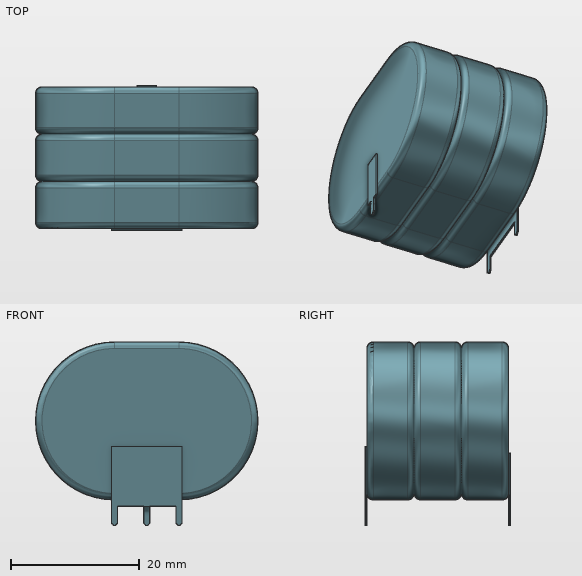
import cadquery as cq

cell_count = 3
cell_height = 24.5
flat_length = 10.0
stack_depth = 22.0
edge_radius = 1.0
cell_width = cell_height + flat_length
cell_depth = stack_depth / cell_count

tab_thickness = 0.25
front_tab_width = 11.0
front_tab_top = -4.0
back_tab_width = 3.0
back_tab_top = -5.0
tab_overhang = 1.0
tab_bottom = -cell_height / 2 - tab_overhang

pin_width = 1.0
pin_length = 3.0
tip_height = 0.4
tip_flat = 0.2
pin_end = tab_bottom - pin_length
front_pin_offset = (front_tab_width - pin_width) / 2


def plate_plane(y_start):
    """XZ sketch plane at y_start whose extrusions grow toward +Y."""
    return cq.Workplane(cq.Plane(origin=(0, y_start, 0), xDir=(1, 0, 0), normal=(0, -1, 0)))


def make_cell(y_start):
    """Oval cell with both end rims rounded."""
    blank = plate_plane(y_start).slot2D(cell_width, cell_height).extrude(-cell_depth)
    return blank.faces("<Y or >Y").edges().fillet(edge_radius)


def make_pin(x_center, y_start):
    """Flat pin with a tapered tip."""
    half_width = pin_width / 2
    half_tip = tip_flat / 2
    outline = [
        (x_center - half_width, tab_bottom),
        (x_center + half_width, tab_bottom),
        (x_center + half_width, pin_end + tip_height),
        (x_center + half_tip, pin_end),
        (x_center - half_tip, pin_end),
        (x_center - half_width, pin_end + tip_height),
    ]
    return plate_plane(y_start).polyline(outline).close().extrude(-tab_thickness)


def make_tab(width, top, pin_positions, y_start):
    """Rectangular tab carrying a pin at each given X position."""
    height = top - tab_bottom
    center_z = (top + tab_bottom) / 2
    tab = plate_plane(y_start).center(0, center_z).rect(width, height).extrude(-tab_thickness)
    for x_center in pin_positions:
        tab = tab.union(make_pin(x_center, y_start))
    return tab


stack_front = -stack_depth / 2
stack_back = stack_depth / 2

body = make_cell(stack_front)
for index in range(1, cell_count):
    body = body.union(make_cell(stack_front + index * cell_depth))

front_tab = make_tab(
    front_tab_width,
    front_tab_top,
    (-front_pin_offset, front_pin_offset),
    stack_front - tab_thickness,
)
back_tab = make_tab(back_tab_width, back_tab_top, (0,), stack_back)

result = body.union(front_tab).union(back_tab)